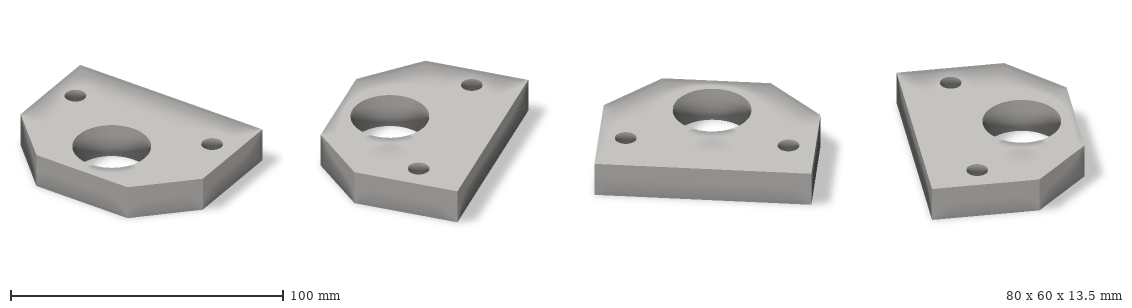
import cadquery as cq

width = 80.0
depth = 60.0
thickness = 13.5
corner_cut = 20.0

bore_diameter = 29.0
bore_from_front = 20.0
bolt_hole_diameter = 8.0
bolt_hole_spacing = 60.0
bolt_hole_from_front = 41.5

half_width = width / 2
front_half_width = half_width - corner_cut

plate = (
    cq.Workplane("XY")
    .moveTo(-front_half_width, 0)
    .lineTo(front_half_width, 0)
    .lineTo(half_width, corner_cut)
    .lineTo(half_width, depth)
    .lineTo(-half_width, depth)
    .lineTo(-half_width, corner_cut)
    .close()
    .extrude(thickness)
)

bore = cq.Workplane("XY").center(0, bore_from_front).circle(bore_diameter / 2).extrude(thickness)

bolt_holes = (
    cq.Workplane("XY")
    .pushPoints([(side * bolt_hole_spacing / 2, bolt_hole_from_front) for side in (-1, 1)])
    .circle(bolt_hole_diameter / 2)
    .extrude(thickness)
)

result = plate.cut(bore).cut(bolt_holes)